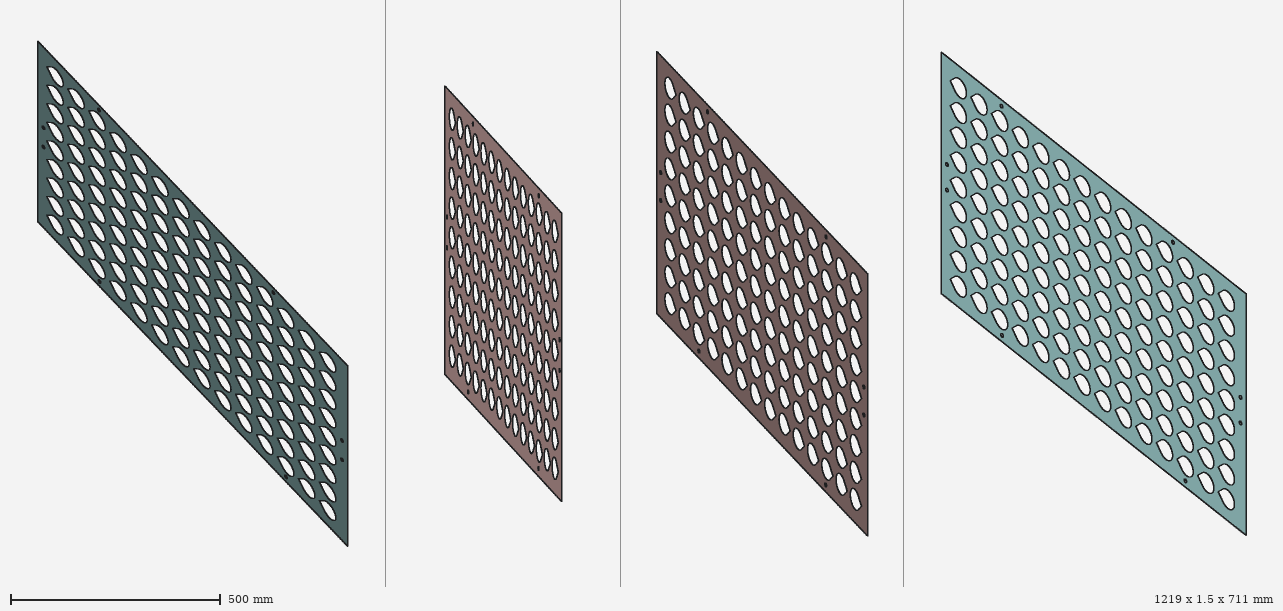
import cadquery as cq
import math

plate_length = 1219.0
plate_height = 711.0
plate_thickness = 1.5

columns = 14
rows = 9
first_to_last_column = 1073.0
first_to_last_row = 584.0
column_pitch = first_to_last_column / (columns - 1)
row_pitch = first_to_last_row / (rows - 1)
round_radius = 27.0

mount_diameter = 10.0
side_hole_x = 588.0
side_hole_z = 38.0
edge_hole_z = 336.0
top_left_hole_x = -370.0
top_right_hole_x = 317.0
bottom_hole_x = 367.0


def teardrop_cutter(center_x, center_z):
    """Round opening drawn out to a square corner that points toward -X."""
    tangent_offset = round_radius * math.sqrt(0.5)
    tip_offset = round_radius * math.sqrt(2)
    return (
        cq.Workplane("XZ", origin=(center_x, 0, center_z))
        .moveTo(-tip_offset, 0)
        .lineTo(-tangent_offset, tangent_offset)
        .threePointArc((round_radius, 0), (-tangent_offset, -tangent_offset))
        .close()
        .extrude(plate_thickness, both=True)
        .val()
    )


plate = cq.Workplane("XZ").rect(plate_length, plate_height).extrude(plate_thickness / 2, both=True)

teardrops = []
for column in range(columns):
    for row in range(rows):
        x = column * column_pitch - first_to_last_column / 2
        z = row * row_pitch - first_to_last_row / 2
        teardrops.append(teardrop_cutter(x, z))

mount_points = [
    (-side_hole_x, side_hole_z),
    (-side_hole_x, -side_hole_z),
    (side_hole_x, side_hole_z),
    (side_hole_x, -side_hole_z),
    (top_left_hole_x, edge_hole_z),
    (top_right_hole_x, edge_hole_z),
    (-bottom_hole_x, -edge_hole_z),
    (bottom_hole_x, -edge_hole_z),
]
mount_holes = (
    cq.Workplane("XZ")
    .pushPoints(mount_points)
    .circle(mount_diameter / 2)
    .extrude(plate_thickness, both=True)
)

perforated = cq.Workplane(plate.val().cut(*teardrops))
result = perforated.cut(mount_holes)